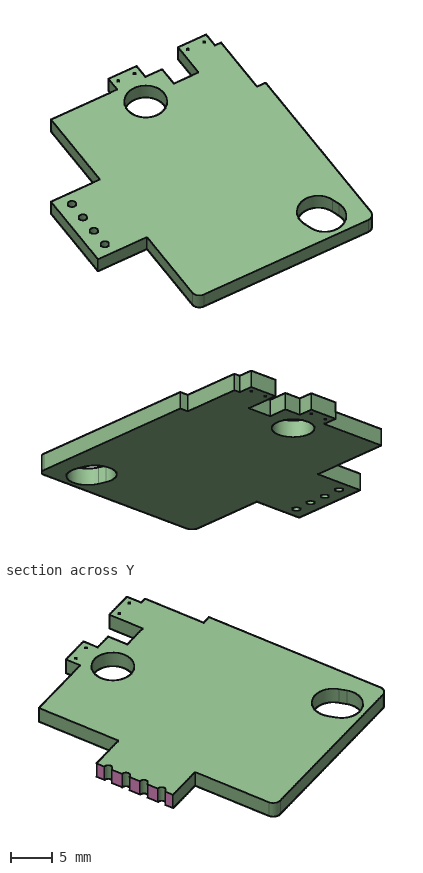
import cadquery as cq

LENGTH = 36.0
WIDTH = 32.3
THICKNESS = 2.2
CORNER_RADIUS = 1.0

BODY_LEFT = 2.05
BODY_BOTTOM = 6.95
STEP_X = 10.45
STEP_DEPTH = 1.22

SIDE_TAB_HEIGHT = 4.0
LOWER_TAB_BOTTOM = 16.35
UPPER_TAB_BOTTOM = 26.2
NOTCH_BOTTOM = 22.72
NOTCH_RIGHT = 4.8
PIN_HOLE_DIAMETER = 0.25
PIN_HOLE_X = 0.9
PIN_HOLE_SPACING = 2.3

CONNECTOR_LEFT = 13.45
CONNECTOR_WIDTH = 11.0
CONNECTOR_HOLE_DIAMETER = 1.0
CONNECTOR_HOLE_COUNT = 4
CONNECTOR_HOLE_PITCH = 2.55
CONNECTOR_HOLE_Y = 1.98

LARGE_DIAMETER = 5.2
ROUND_HOLE_CENTER = (5.5, 18.3)
SLOT_CENTER = (32.2, 27.0)
SLOT_CENTER_DISTANCE = 1.05
SLOT_ANGLE = 18.0


def make_plate():
    """Stepped outline with tabs, extruded and rounded at the right corners."""
    connector_right = CONNECTOR_LEFT + CONNECTOR_WIDTH
    lower_tab_top = LOWER_TAB_BOTTOM + SIDE_TAB_HEIGHT
    upper_tab_top = UPPER_TAB_BOTTOM + SIDE_TAB_HEIGHT
    step_y = WIDTH - STEP_DEPTH
    outline = [
        (BODY_LEFT, BODY_BOTTOM),
        (CONNECTOR_LEFT, BODY_BOTTOM),
        (CONNECTOR_LEFT, 0),
        (connector_right, 0),
        (connector_right, BODY_BOTTOM),
        (LENGTH, BODY_BOTTOM),
        (LENGTH, WIDTH),
        (STEP_X, WIDTH),
        (STEP_X, step_y),
        (BODY_LEFT, step_y),
        (BODY_LEFT, upper_tab_top),
        (0, upper_tab_top),
        (0, UPPER_TAB_BOTTOM),
        (NOTCH_RIGHT, UPPER_TAB_BOTTOM),
        (NOTCH_RIGHT, NOTCH_BOTTOM),
        (BODY_LEFT, NOTCH_BOTTOM),
        (BODY_LEFT, lower_tab_top),
        (0, lower_tab_top),
        (0, LOWER_TAB_BOTTOM),
        (BODY_LEFT, LOWER_TAB_BOTTOM),
    ]
    plate = cq.Workplane("XY").polyline(outline).close().extrude(THICKNESS)
    return plate.faces(">X").edges("|Z").fillet(CORNER_RADIUS)


def round_cutter(centers, diameter):
    """Cylinders through the plate thickness at the given centers."""
    return cq.Workplane("XY").pushPoints(centers).circle(diameter / 2).extrude(THICKNESS)


def slot_cutter():
    """Tilted slot through the plate thickness."""
    return (
        cq.Workplane("XY")
        .center(*SLOT_CENTER)
        .slot2D(LARGE_DIAMETER + SLOT_CENTER_DISTANCE, LARGE_DIAMETER, SLOT_ANGLE)
        .extrude(THICKNESS)
    )


pin_centers = [
    (PIN_HOLE_X, tab_bottom + SIDE_TAB_HEIGHT / 2 + side * PIN_HOLE_SPACING / 2)
    for tab_bottom in (LOWER_TAB_BOTTOM, UPPER_TAB_BOTTOM)
    for side in (-1, 1)
]

connector_middle = CONNECTOR_LEFT + CONNECTOR_WIDTH / 2
connector_centers = [
    (connector_middle + (i - (CONNECTOR_HOLE_COUNT - 1) / 2) * CONNECTOR_HOLE_PITCH, CONNECTOR_HOLE_Y)
    for i in range(CONNECTOR_HOLE_COUNT)
]

result = (
    make_plate()
    .cut(round_cutter([ROUND_HOLE_CENTER], LARGE_DIAMETER))
    .cut(slot_cutter())
    .cut(round_cutter(pin_centers, PIN_HOLE_DIAMETER))
    .cut(round_cutter(connector_centers, CONNECTOR_HOLE_DIAMETER))
)